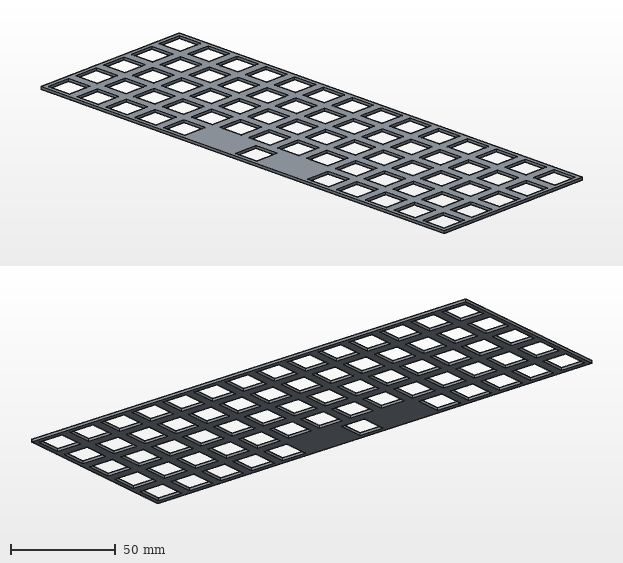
import cadquery as cq

columns = 14
rows = 5
length = 266.7
pitch = length / columns
width = rows * pitch
thickness = 1.5

opening = 14.0

wide_key_first_column = 5
wide_key_columns = 4
wide_key_middle_column = wide_key_first_column + (wide_key_columns - 1) / 2


def column_x(column):
    return (column - (columns - 1) / 2) * pitch


def row_y(row):
    return (row - (rows - 1) / 2) * pitch


def is_under_wide_key(column, row):
    past_start = column >= wide_key_first_column
    before_end = column < wide_key_first_column + wide_key_columns
    return row == 0 and past_start and before_end


opening_centers = [
    (column_x(column), row_y(row))
    for row in range(rows)
    for column in range(columns)
    if not is_under_wide_key(column, row)
]
opening_centers.append((column_x(wide_key_middle_column), row_y(0)))

plate = cq.Workplane("XY").box(length, width, thickness)
openings = (
    cq.Workplane("XY")
    .pushPoints(opening_centers)
    .rect(opening, opening)
    .extrude(thickness, both=True)
)
result = plate.cut(openings)